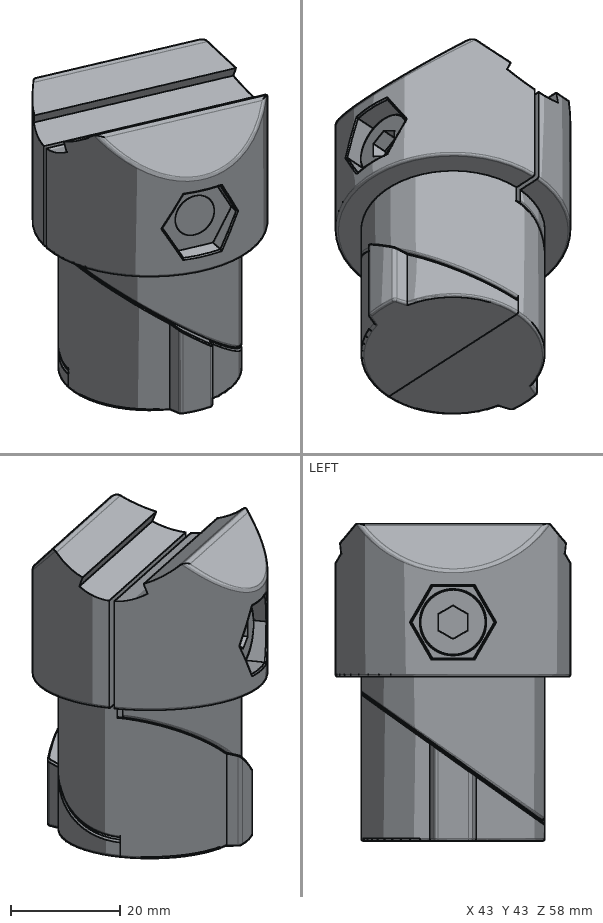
import cadquery as cq
import math

HEAD_R = 21.5
HEAD_BOTTOM_Z = 30.0
STOCK_TOP_Z = 60.0
STUB_R = 16.8
BOTTOM_ROUND = 0.5

SHOULDER_Z = 49.5
FLANK_ROUND = 1.0
UPPER_ARC_R = 18.65
UPPER_ARC_Z = 72.1
LOWER_ARC_R = 12.95
LOWER_ARC_Z = 63.7
STEP_TOP_X = 5.9
STEP_BOTTOM_X = 6.6

HEAD_GAP = 1.0
HALF_GAP = HEAD_GAP / 2
JOINT_ANGLE = 35.4
JOINT_Z = 15.27
JOINT_ROUND = 0.4
JOINT_CHAMFER = 0.3
JOINT_GAP = 0.2

KEY_R = 19.0
KEY_ROOT_X = 16.25
KEY_ROOT_HALF_WIDTH = 4.25
KEY_TAPER = 20.0
KEY_ROUND = 0.9

SCREW_Z = 40.0
SCREW_D = 8.0
SEAT_X = 13.0
SEAT_FLATS = 13.1
SEAT_CHAMFER = 0.3
RIM_DEPTH = 1.5
HEAD_D = 12.2
HEAD_HEIGHT = 5.0
HEAD_EDGE = 0.2
SOCKET_FLATS = 5.3
SOCKET_DEPTH = 3.0
NUT_FLATS = 13.0
NUT_HEIGHT = 5.0

REACH = 60.0


def across_corners(flats):
    return flats / math.cos(math.radians(30))


def slab(x_min, x_max):
    """Tall block between two X positions."""
    middle_x = (x_min + x_max) / 2
    return cq.Workplane("XY").box(x_max - x_min, 2 * REACH, 2 * REACH).translate((middle_x, 0, 0))


def below_slope(rise, centre_z):
    """Block under a plane crossing the axis at centre_z; rise is the Z change per unit of Y."""
    return (
        cq.Workplane("YZ")
        .moveTo(-REACH, -2 * REACH)
        .lineTo(REACH, -2 * REACH)
        .lineTo(REACH, centre_z + rise * REACH)
        .lineTo(-REACH, centre_z - rise * REACH)
        .close()
        .extrude(REACH, both=True)
    )


def arc_height(centre_z, radius, x):
    """Height of the lower side of a circle centred on X = 0."""
    return centre_z - math.sqrt(radius**2 - x**2)


def saddle_profile():
    """Half section of the head (X < 0), extruded along Y."""
    def upper(x):
        return (-x, arc_height(UPPER_ARC_Z, UPPER_ARC_R, x))

    def lower(x):
        return (-x, arc_height(LOWER_ARC_Z, LOWER_ARC_R, x))

    flank_z = SHOULDER_Z + HEAD_R
    offset = UPPER_ARC_Z - flank_z
    peak_x = (-offset + math.sqrt(2 * UPPER_ARC_R**2 - offset**2)) / 2
    overhang = HEAD_R + 1.0
    return (
        cq.Workplane("XZ")
        .moveTo(0, 0)
        .lineTo(*lower(0))
        .threePointArc(lower(STEP_BOTTOM_X / 2), lower(STEP_BOTTOM_X))
        .lineTo(*upper(STEP_TOP_X))
        .threePointArc(upper((STEP_TOP_X + peak_x) / 2), upper(peak_x))
        .lineTo(-overhang, flank_z - overhang)
        .lineTo(-overhang, 0)
        .close()
        .extrude(REACH, both=True)
    )


def stub():
    return cq.Workplane("XY").circle(STUB_R).extrude(HEAD_BOTTOM_Z).faces("<Z").edges().fillet(BOTTOM_ROUND)


def jaw_head():
    """Full-width head whose -X side carries the flank, pocket and screw hole."""
    block = (
        cq.Workplane("XY", origin=(0, 0, HEAD_BOTTOM_Z))
        .circle(HEAD_R)
        .extrude(STOCK_TOP_Z - HEAD_BOTTOM_Z)
        .faces("<Z").edges().fillet(BOTTOM_ROUND)
        .intersect(saddle_profile())
    )
    flank_normal = cq.Vector(-1, 0, 1)
    block = block.faces(cq.selectors.ParallelDirSelector(flank_normal)).edges().fillet(FLANK_ROUND)
    pocket = (
        cq.Workplane("YZ", origin=(-SEAT_X, 0, SCREW_Z))
        .polygon(6, across_corners(SEAT_FLATS))
        .extrude(-REACH)
    )
    half_size = across_corners(SEAT_FLATS) / 2
    rim = cq.selectors.BoxSelector(
        (-HEAD_R, -half_size, SCREW_Z - half_size),
        (-HEAD_R + RIM_DEPTH, half_size, SCREW_Z + half_size),
    )
    block = block.cut(pocket).edges(rim).chamfer(SEAT_CHAMFER)
    hole = cq.Workplane("YZ", origin=(0, 0, SCREW_Z)).circle(SCREW_D / 2).extrude(REACH, both=True)
    return block.cut(hole)


def key():
    """Full-height tapered bar on the +X side, reaching into the stub."""
    taper = math.tan(math.radians(KEY_TAPER))

    def half_width(x):
        return KEY_ROOT_HALF_WIDTH - (x - KEY_ROOT_X) * taper

    inner_x = KEY_ROOT_X - 2.0
    outer_x = KEY_R + 1.0
    return (
        cq.Workplane("XY")
        .polyline([
            (inner_x, -half_width(inner_x)),
            (outer_x, -half_width(outer_x)),
            (outer_x, half_width(outer_x)),
            (inner_x, half_width(inner_x)),
        ])
        .close()
        .extrude(HEAD_BOTTOM_Z)
        .intersect(cq.Workplane("XY").circle(KEY_R).extrude(HEAD_BOTTOM_Z))
        .edges("|Z").edges(">X").fillet(KEY_ROUND)
        .faces("<Z").edges().fillet(BOTTOM_ROUND)
    )


def jaw():
    """Jaw with its head at -X; a bridge at -Y joins it to the stub part at +X."""
    slope = math.tan(math.radians(JOINT_ANGLE))
    underside = below_slope(slope, JOINT_Z + JOINT_GAP / 2)
    top_side = below_slope(-slope, JOINT_Z - JOINT_GAP / 2)
    upper = stub().cut(underside).faces("<Z").edges().fillet(JOINT_ROUND)
    lower = stub().union(key()).intersect(top_side).faces(">Z").edges().chamfer(JOINT_CHAMFER)
    bridge = upper.intersect(lower).intersect(slab(-HALF_GAP, 0))
    left = upper.union(jaw_head()).intersect(slab(-REACH, -HALF_GAP))
    right = lower.intersect(slab(0, REACH))
    return left.union(bridge).union(right)


def screw():
    """Cap screw with its head in the -X pocket and its end flush with the nut."""
    cap = (
        cq.Workplane("YZ", origin=(-SEAT_X - HEAD_HEIGHT, 0, SCREW_Z))
        .circle(HEAD_D / 2)
        .extrude(HEAD_HEIGHT)
        .faces("<X").edges().chamfer(HEAD_EDGE)
    )
    socket = (
        cq.Workplane("YZ", origin=(-SEAT_X - HEAD_HEIGHT, 0, SCREW_Z))
        .polygon(6, across_corners(SOCKET_FLATS))
        .extrude(SOCKET_DEPTH)
        .rotate((0, 0, SCREW_Z), (1, 0, SCREW_Z), 30)
    )
    shank = (
        cq.Workplane("YZ", origin=(-SEAT_X, 0, SCREW_Z))
        .circle(SCREW_D / 2)
        .extrude(2 * SEAT_X + NUT_HEIGHT)
    )
    return cap.union(shank).cut(socket)


def nut():
    return (
        cq.Workplane("YZ", origin=(SEAT_X, 0, SCREW_Z))
        .polygon(6, across_corners(NUT_FLATS))
        .circle(SCREW_D / 2)
        .extrude(NUT_HEIGHT)
    )


jaws = [jaw().rotate((0, 0, 0), (0, 0, 1), turn) for turn in (0, 180)]
result = cq.Compound.makeCompound([*[half.solids().val() for half in jaws], screw().val(), nut().val()])